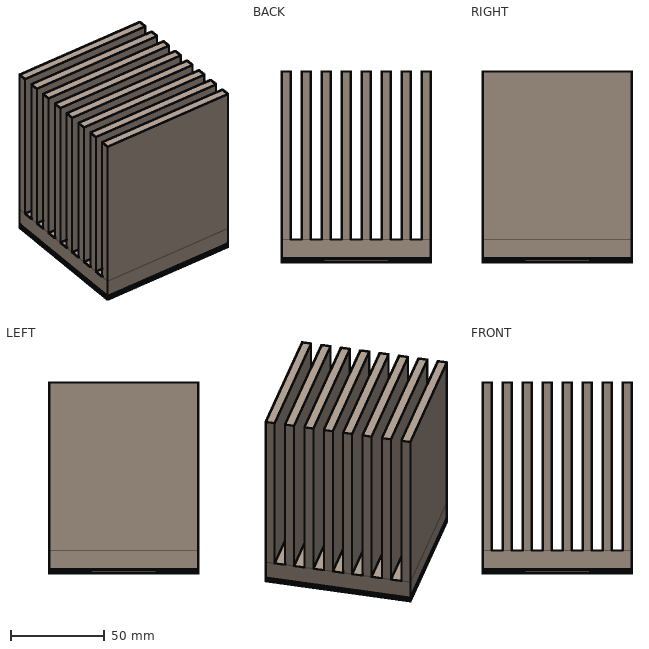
import cadquery as cq

width = 80.0
total_height = 102.3

board_thickness = 1.5
chip_size = 35.0
chip_thickness = 0.6
pad_thickness = 0.2
base_thickness = 10.0

fin_count = 8
fin_thickness = 5.0
fin_pitch = (width - fin_thickness) / (fin_count - 1)

chip_bottom = board_thickness
pad_bottom = chip_bottom + chip_thickness
base_bottom = pad_bottom + pad_thickness
fin_bottom = base_bottom + base_thickness
fin_height = total_height - fin_bottom


def make_plate(size_x, size_y, thickness, bottom, center_x=0.0):
    """Rectangular plate centred on Y = 0, standing on the given level."""
    return (
        cq.Workplane("XY", origin=(center_x, 0, bottom))
        .box(size_x, size_y, thickness, centered=(True, True, False))
    )


def make_heat_sink():
    """Base plate with a row of full-depth fins, flush with both sides."""
    heat_sink = make_plate(width, width, base_thickness, base_bottom)
    first_fin_x = (fin_thickness - width) / 2
    for index in range(fin_count):
        fin_x = first_fin_x + index * fin_pitch
        fin = make_plate(fin_thickness, width, fin_height, fin_bottom, fin_x)
        heat_sink = heat_sink.union(fin, clean=False)
    return heat_sink


board = make_plate(width, width, board_thickness, 0.0)
chip = make_plate(chip_size, chip_size, chip_thickness, chip_bottom)
thermal_pad = make_plate(chip_size, chip_size, pad_thickness, pad_bottom)
heat_sink = make_heat_sink()

result = cq.Compound.makeCompound([
    board.val(),
    chip.val(),
    thermal_pad.val(),
    heat_sink.val(),
])